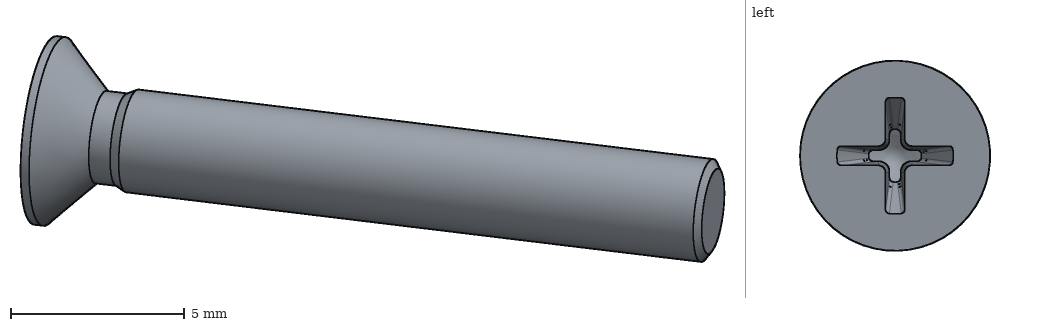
import cadquery as cq
import math

length = 20.0
head_radius = 5.5 / 2
neck_radius = 2.7 / 2
shank_radius = 3.0 / 2
rim_thickness = 0.25
cone_end = rim_thickness + head_radius - neck_radius
neck_end = 2.3
shank_start = 2.6
tip_chamfer_length = 0.18
tip_chamfer_height = 0.25

recess_radius = 1.68
recess_floor_radius = 0.75
wing_depth = 1.8
floor_cone_angle = 28.0
wing_half_width = 0.28
wing_taper = 3.5
inner_corner_radius = 0.2
wing_edge_radius = 0.12


def make_body():
    """Head, neck and shank revolved about the X axis."""
    profile = [
        (0, 0),
        (0, head_radius),
        (rim_thickness, head_radius),
        (cone_end, neck_radius),
        (neck_end, neck_radius),
        (shank_start, shank_radius),
        (length - tip_chamfer_length, shank_radius),
        (length, shank_radius - tip_chamfer_height),
        (length, 0),
    ]
    return cq.Workplane("XY").polyline(profile).close().revolve(360, (0, 0), (1, 0))


def quarter_turned(y, z, quarters):
    """Turn a point about the screw axis by whole quarter turns."""
    for _ in range(quarters):
        y, z = -z, y
    return y, z


def make_recess():
    """Drafted cross trimmed by a cone with a pointed conical floor."""
    recess_depth = wing_depth + recess_floor_radius * math.tan(math.radians(floor_cone_angle))
    envelope = (
        cq.Workplane("XY")
        .polyline([(0, 0), (0, recess_radius), (wing_depth, recess_floor_radius), (recess_depth, 0)])
        .close()
        .revolve(360, (0, 0), (1, 0))
    )

    reach = 2 * recess_radius
    corner = wing_half_width + inner_corner_radius
    arc_middle = corner - inner_corner_radius * math.sqrt(0.5)
    outline = cq.Workplane("YZ").moveTo(corner, -wing_half_width)
    for quarter in range(4):
        outline = (
            outline.lineTo(*quarter_turned(reach, -wing_half_width, quarter))
            .lineTo(*quarter_turned(reach, wing_half_width, quarter))
            .lineTo(*quarter_turned(corner, wing_half_width, quarter))
            .threePointArc(
                quarter_turned(arc_middle, arc_middle, quarter),
                quarter_turned(wing_half_width, corner, quarter),
            )
        )
    cross = outline.close().extrude(recess_depth, taper=wing_taper)
    recess = envelope.intersect(cross)

    middle_radius = (recess_radius + recess_floor_radius) / 2
    offset = wing_half_width
    for quarter in range(4):
        y, z = quarter_turned(middle_radius, 0, quarter)
        near_wing_end = cq.selectors.BoxSelector(
            (0.2, y - offset, z - offset), (wing_depth - 0.2, y + offset, z + offset)
        )
        recess = recess.edges(near_wing_end).fillet(wing_edge_radius)
    return recess


result = make_body().cut(make_recess())